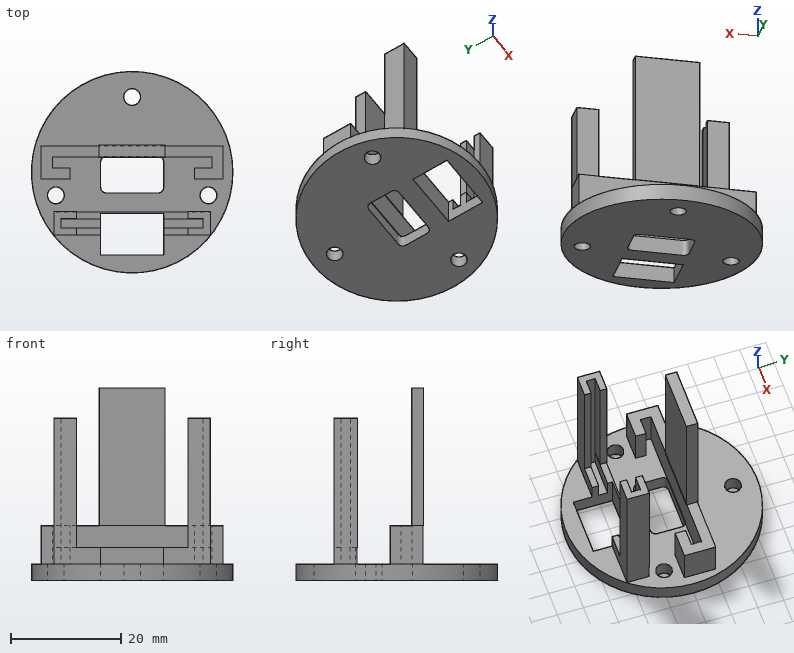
import cadquery as cq

plate_diameter = 36.6
plate_thickness = 3.0

screw_hole_diameter = 3.0
rear_screw_y = 13.65
side_screw_x = 13.85
side_screw_y = -4.2

bracket_width = 33.0
bracket_wall = 2.0
bracket_slot = 2.0
bracket_lip_length = 5.2
bracket_rear_y = 4.8
bracket_top_z = 10.0
bracket_depth = 2 * bracket_wall + bracket_slot
bracket_front_y = bracket_rear_y - bracket_depth
bracket_inner_width = bracket_width - 2 * bracket_wall
bracket_mouth_width = bracket_width - 2 * bracket_lip_length

tower_width = 12.0
tower_thickness = 2.2
tower_center_y = bracket_rear_y - bracket_wall / 2
tower_top_z = 35.0

holder_width = 28.4
holder_front_y = -11.4
holder_end_wall = 1.3
post_width = 4.1
post_depth = 4.3
post_front_wall = 1.3
post_top_z = 29.5
rail_depth = 4.2
rail_front_wall = 1.25
rail_top_z = 6.0
groove_width = 1.7
groove_length = holder_width - 2 * holder_end_wall

opening_width = 11.4
rear_opening_front_y = -3.75
rear_opening_rear_y = 2.9
rear_opening_corner_radius = 1.0
front_opening_front_y = -15.0
front_opening_rear_y = -7.5


def block(width, front_y, depth, bottom_z, top_z, center_x=0.0):
    """Rectangular block centred on center_x, running back from front_y."""
    return (
        cq.Workplane("XY", origin=(center_x, front_y + depth / 2, bottom_z))
        .box(width, depth, top_z - bottom_z, centered=(True, True, False))
    )


def make_plate():
    screw_points = [(0, rear_screw_y), (-side_screw_x, side_screw_y), (side_screw_x, side_screw_y)]
    return (
        cq.Workplane("XY")
        .circle(plate_diameter / 2)
        .extrude(plate_thickness)
        .faces(">Z")
        .workplane(origin=(0, 0, 0))
        .pushPoints(screw_points)
        .hole(screw_hole_diameter)
    )


def make_bracket():
    body = block(bracket_width, bracket_front_y, bracket_depth, plate_thickness, bracket_top_z)
    slot_y = bracket_front_y + bracket_wall
    slot = block(bracket_inner_width, slot_y, bracket_slot, plate_thickness, bracket_top_z)
    mouth = block(bracket_mouth_width, bracket_front_y, bracket_wall, plate_thickness, bracket_top_z)
    return body.cut(slot).cut(mouth)


def make_tower():
    front_y = tower_center_y - tower_thickness / 2
    return block(tower_width, front_y, tower_thickness, bracket_top_z, tower_top_z)


def make_rail():
    rail = block(holder_width, holder_front_y, rail_depth, plate_thickness, rail_top_z)
    groove_y = holder_front_y + rail_front_wall
    groove = block(groove_length, groove_y, groove_width, plate_thickness, rail_top_z)
    return rail.cut(groove)


def make_posts():
    """The two posts above the rail, with facing grooves."""
    groove_y = holder_front_y + post_front_wall
    groove = block(groove_length, groove_y, groove_width, rail_top_z, post_top_z)
    posts = cq.Workplane("XY")
    for side in (-1, 1):
        center_x = side * (holder_width - post_width) / 2
        posts = posts.add(
            block(post_width, holder_front_y, post_depth, rail_top_z, post_top_z, center_x)
        )
    return posts.combine().cut(groove)


def make_rear_opening():
    depth = rear_opening_rear_y - rear_opening_front_y
    opening = block(opening_width, rear_opening_front_y, depth, 0, plate_thickness)
    return opening.edges("|Z").fillet(rear_opening_corner_radius)


def make_front_opening():
    depth = front_opening_rear_y - front_opening_front_y
    return block(opening_width, front_opening_front_y, depth, 0, rail_top_z)


result = (
    make_plate()
    .union(make_bracket())
    .union(make_tower())
    .union(make_rail())
    .union(make_posts())
    .cut(make_rear_opening())
    .cut(make_front_opening())
)